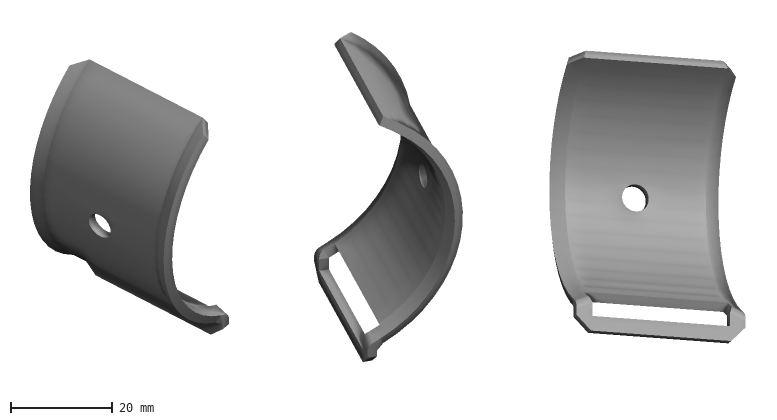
import cadquery as cq
import math

sheet = 2.0
width = 35.0
inner_radius = 27.5
band_angle = 60.0
leg_angle = 62.7
rim_tilt = 20.0
window_width = 28.4
bar_height = 3.0
corner_cut = 3.0
rim_cut = 3.2
depth = 20.0
height = 58.0
hole_diameter = 5.5
hole_z = -0.4

outer_radius = inner_radius + sheet
tilt = math.radians(rim_tilt)
half_width = width / 2
bend_x = window_width / 2
tip_x = half_width - sheet * math.sin(tilt)
tip_radius = outer_radius + (tip_x - bend_x) * math.tan(tilt)
rim_edge_radius = tip_radius - sheet * math.cos(tilt)
bend_inner_x = bend_x + sheet * math.tan(tilt / 2)
band_half_height = outer_radius * math.sin(math.radians(band_angle))
plate_bottom = band_half_height - height
bar_top = plate_bottom + bar_height
plate_back_y = depth - tip_radius
plate_front_y = plate_back_y - sheet


def around_axis(x, radius, angle):
    """Point at a radius from the X axis, at an angle below the -Y direction."""
    a = math.radians(angle)
    return cq.Vector(x, -radius * math.cos(a), -radius * math.sin(a))


def revolve_section(points, top_angle, bottom_angle):
    """Turn an (X, radius) section about the X axis between two angles above and below -Y."""
    section = cq.Workplane("XY").polyline([(x, -r) for x, r in points]).close()
    turned = section.revolve(top_angle + bottom_angle, (0, 0, 0), (1, 0, 0))
    return turned.rotate((0, 0, 0), (1, 0, 0), -top_angle)


def polygon_prism(points, direction):
    """Extrude a planar polygon along a vector."""
    wire = cq.Wire.makePolygon(points, close=True)
    return cq.Workplane(cq.Solid.extrudeLinear(wire, [], direction))


def mirrored_pair(body):
    """Join a body on the +X side with its mirror image on the -X side."""
    return body.union(body.mirror("YZ"), clean=False)


def make_band():
    """Curved sheet with tilted rims, from the top end down to the end of the curved rims."""
    half = [
        (bend_x, outer_radius),
        (tip_x, tip_radius),
        (half_width, rim_edge_radius),
        (bend_inner_x, inner_radius),
    ]
    other_half = [(-x, r) for x, r in reversed(half)]
    return revolve_section(half + other_half, band_angle, leg_angle)


def make_top_corner_cut():
    """Wedge that takes off the upper corner of the +X rim, square to the tilted rim."""
    a = math.radians(band_angle)
    radial = cq.Vector(0, -math.cos(a), math.sin(a))
    down = cq.Vector(0, -math.sin(a), -math.cos(a))
    across = cq.Vector(math.cos(tilt), 0, 0) + radial * math.sin(tilt)
    normal = radial * math.cos(tilt) - cq.Vector(math.sin(tilt), 0, 0)
    rim_length = (tip_x - bend_x) / math.cos(tilt)
    corner = around_axis(bend_x, outer_radius, -band_angle)
    reach = 2
    base = corner - normal * (reach * sheet)
    side = across * (reach * rim_length)
    triangle = [base, base + side + down * (reach * rim_cut), base + side]
    return polygon_prism(triangle, normal * (2 * reach * sheet))


def make_window_cut():
    """Opening between the rims below the band, with sides square to the tilted rims."""
    undercut_x = bend_x + 2 * sheet * math.sin(tilt)
    undercut_radius = outer_radius - 2 * sheet * math.cos(tilt)
    half = [
        (bend_x, outer_radius + sheet),
        (bend_x, outer_radius),
        (undercut_x, undercut_radius),
    ]
    other_half = [(-x, r) for x, r in reversed(half)]
    past_end = 2 * leg_angle - band_angle
    return revolve_section(half + other_half, -band_angle, past_end)


def make_leg():
    """Flat slab below the curved rim and the fold that joins it to the plate."""
    root = around_axis(bend_x, outer_radius, leg_angle)
    tip = around_axis(tip_x, tip_radius, leg_angle)
    inner_x = bend_x + sheet * math.sin(tilt)
    inner_root = around_axis(inner_x, outer_radius - sheet * math.cos(tilt), leg_angle)
    inward = inner_root - root
    slab = polygon_prism([root, tip, fold_end, fold_start], inward)

    through = cq.Vector(0, sheet, 0)
    corners = [fold_start, fold_end, fold_end + through, fold_start + through]
    profile = cq.Wire.makePolygon(corners, close=True)
    fold_angle = math.degrees(through.getAngle(inward))
    fold = cq.Workplane(cq.Solid.revolve(profile, [], fold_angle, fold_start, fold_end))

    side_limit = cq.Workplane("XY").box(width, 4 * outer_radius, 4 * outer_radius)
    return slab.union(fold, clean=False).intersect(side_limit, clean=False)


def make_plate():
    """Flat U-shaped plate: an upright under each fold and the crossbar below the window."""
    half = [
        (half_width - corner_cut, plate_bottom),
        (half_width, plate_bottom + corner_cut),
        (half_width, fold_end.z),
        (bend_x, fold_start.z),
        (bend_x, bar_top),
    ]
    other_half = [(-x, z) for x, z in reversed(half)]
    outline = cq.Workplane("XZ", origin=(0, plate_back_y, 0)).polyline(half + other_half).close()
    return outline.extrude(sheet)


def make_hole():
    """Round hole through the band along Y."""
    return cq.Workplane("XZ").center(0, hole_z).circle(hole_diameter / 2).extrude(2 * outer_radius)


leg_slope = math.radians(leg_angle)
rim_end = around_axis(bend_x, outer_radius, leg_angle)
fold_top_z = rim_end.z - (plate_front_y - rim_end.y) / math.tan(leg_slope)
fold_drop = (half_width - bend_x) * math.tan(tilt) / math.sin(leg_slope)
fold_start = cq.Vector(bend_x, plate_front_y, fold_top_z)
fold_end = cq.Vector(half_width, plate_front_y, fold_top_z - fold_drop)

band = make_band().cut(mirrored_pair(make_top_corner_cut())).cut(make_window_cut()).cut(make_hole())
result = band.union(mirrored_pair(make_leg()), clean=False).union(make_plate(), clean=False)